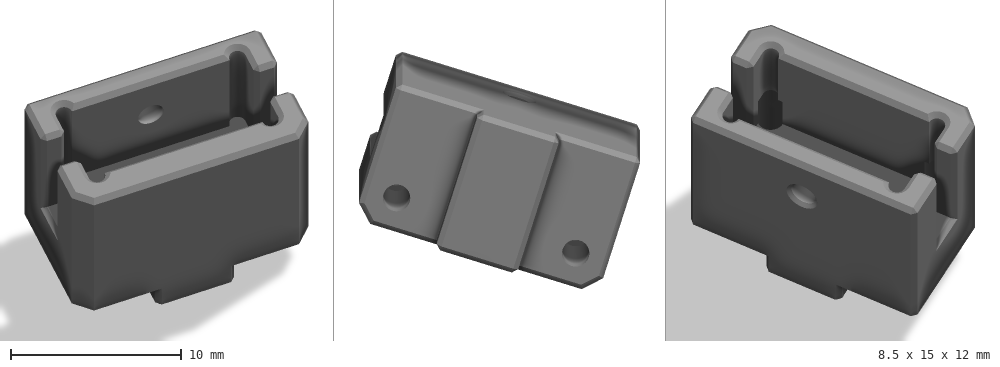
import cadquery as cq

width = 8.5
length = 15.0
height = 12.0
edge_chamfer = 0.3
corner_chamfer = 1.0

tab_length = 5.0
tab_height = 1.5

wall = 1.5
cavity_width = 5.0
cavity_length = length - 2 * wall
floor_z = 5.5
slot_width = 2.0
slot_center_x = wall + cavity_width / 2

relief_radius = 0.5
relief_y = cavity_length / 2 - relief_radius

pin_radius = 0.8
pin_top_z = 7.65

side_hole_radius = 0.8
side_hole_chamfer = 0.22
side_hole_z = 9.0

select_margin = 0.01


def box(x_start, x_size, y_size, z_bottom, z_top):
    """Box centred on Y = 0, starting at the given X."""
    return (
        cq.Workplane("XY", origin=(x_start + x_size / 2, 0, z_bottom))
        .rect(x_size, y_size)
        .extrude(z_top - z_bottom)
    )


def make_block():
    """Sharp-edged block with its two +X vertical corners cut off."""
    block = box(0, width, length, tab_height, height)
    return block.edges("|Z and >X").chamfer(corner_chamfer)


def cut_cavity(body):
    """Pocket with corner reliefs, plus the slot through both end walls."""
    pocket = box(wall, cavity_width, cavity_length, floor_z, height)
    reliefs = (
        cq.Workplane("XY", origin=(slot_center_x, 0, floor_z))
        .rect(cavity_width, 2 * relief_y, forConstruction=True)
        .vertices()
        .circle(relief_radius)
        .extrude(height - floor_z)
    )
    slot = box(slot_center_x - slot_width / 2, slot_width, length, floor_z, height)
    return body.cut(pocket.union(reliefs)).cut(slot)


def slot_edges_at(y):
    """Selector for the edges of the slot lying on the wall face at the given Y."""
    reach = slot_width / 2 + select_margin
    return cq.selectors.BoxSelector(
        (slot_center_x - reach, y - select_margin, floor_z - select_margin),
        (slot_center_x + reach, y + select_margin, height - select_margin),
    )


def chamfer_block(body):
    """Chamfer all outer edges and openings at once so the corners become small triangles."""
    edges = body.edges("|Z and <X")
    edges = edges.add(body.faces(">Z").edges())
    edges = edges.add(body.faces("<Z").edges())
    for face_y in (length / 2, cavity_length / 2):
        for side in (-1, 1):
            edges = edges.add(body.edges(slot_edges_at(side * face_y)))
    return edges.chamfer(edge_chamfer)


def make_tab():
    """Tab reaching up into the block, chamfered on its vertical and bottom edges."""
    tab = box(0, width, tab_length, 0, tab_height + edge_chamfer)
    return tab.edges("|Z or <Z").chamfer(edge_chamfer)


def cut_pin_holes(body):
    """Vertical holes from the underside into the +X corners of the cavity."""
    pins = (
        cq.Workplane("XY")
        .pushPoints([(wall + cavity_width, -relief_y), (wall + cavity_width, relief_y)])
        .circle(pin_radius)
        .extrude(pin_top_z)
    )
    return body.cut(pins)


def cut_side_hole(body):
    """Horizontal hole through the -X wall, chamfered at its mouth."""
    plane = cq.Workplane("YZ", origin=(0, 0, side_hole_z))
    hole = plane.circle(side_hole_radius).extrude(wall)
    mouth = cq.Workplane("XY").add(
        cq.Solid.makeCone(
            side_hole_radius + side_hole_chamfer,
            side_hole_radius,
            side_hole_chamfer,
            pnt=cq.Vector(0, 0, side_hole_z),
            dir=cq.Vector(1, 0, 0),
        )
    )
    return body.cut(hole).cut(mouth)


result = make_block()
result = cut_cavity(result)
result = chamfer_block(result)
result = result.union(make_tab())
result = cut_pin_holes(result)
result = cut_side_hole(result)